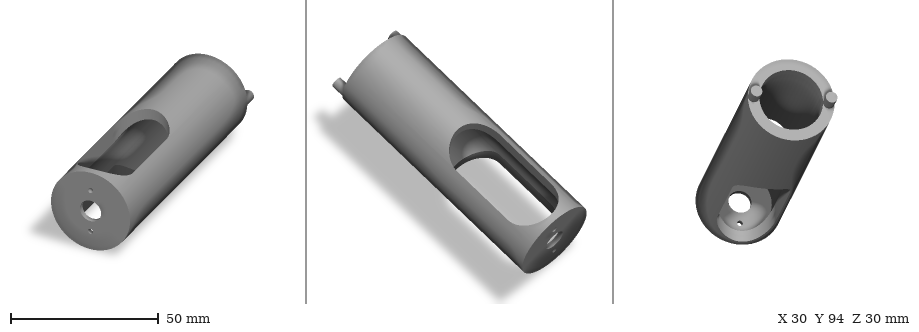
import cadquery as cq

total_length = 94.0
outer_diameter = 30.0
bore_diameter = 22.0
pin_length = 5.0
body_length = total_length - pin_length
end_wall = 2.0

center_hole_diameter = 8.0
screw_hole_diameter = 2.0
screw_hole_offset = 8.0

window_width = 20.0
window_length = 45.0
window_front_gap = 2.5

pin_diameter = (outer_diameter - bore_diameter) / 2
pin_offset = (outer_diameter + bore_diameter) / 4


def rod(diameter, y_start, y_end, x=0, z=0):
    """Solid cylinder parallel to Y between two Y positions."""
    direction = cq.Vector(0, 1, 0)
    start = cq.Vector(x, y_start, z)
    return cq.Workplane(obj=cq.Solid.makeCylinder(diameter / 2, y_end - y_start, start, direction))


def window():
    """Vertical round-ended slot through both walls."""
    center_y = window_front_gap + window_length / 2
    return (
        cq.Workplane("XY")
        .center(0, center_y)
        .slot2D(window_length, window_width, 90)
        .extrude(outer_diameter, both=True)
    )


result = rod(outer_diameter, 0, body_length)
result = result.cut(rod(bore_diameter, end_wall, body_length))

result = result.cut(rod(center_hole_diameter, 0, end_wall))
for side in (-1, 1):
    result = result.cut(rod(screw_hole_diameter, 0, end_wall, z=side * screw_hole_offset))

result = result.cut(window())

for side in (-1, 1):
    result = result.union(rod(pin_diameter, body_length, total_length, x=side * pin_offset))